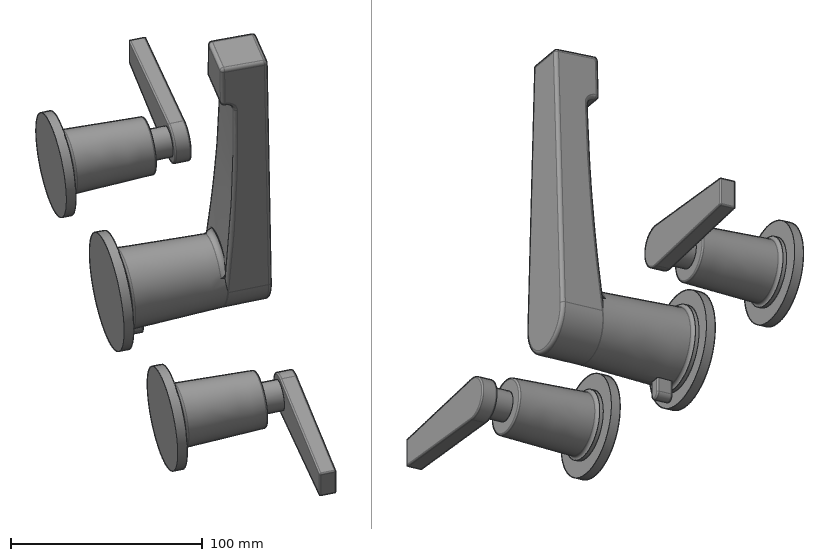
import cadquery as cq
import math


overall_width = 347.98

plate_thickness = 5.3
collar_top = 7.4
cove_radius = 1.9

spout_depth = 84.15
spout_top = 152.46
spout_plate_radius = 31.75
spout_foot_radius = 21.65
arm_root_radius = 19.7
arm_tip_half_width = 12.0
arm_edge_radius = 2.0
tip_slope_drop = 0.8
body_end = 66.0
body_end_radius = 19.4
junction_radius = 3.2

outlet_face = 58.5
outlet_bottom = 127.3
outlet_cove_radius = 4.5
underside_y = 65.1
underside_radius = 1100.0
underside_top = outlet_bottom - outlet_cove_radius

profile_margin = 1.0

knob_start = 10.1
knob_end = 19.1
knob_bottom = -32.33
knob_radius = 3.4
knob_edge_radius = 0.9

handle_spacing = 101.6
handle_plate_radius = 27.94
handle_foot_radius = 17.1
handle_top_radius = 15.4
handle_body_end = 52.9
handle_rim_radius = 0.9
stem_radius = 8.3
lever_start = 63.9
lever_end = 72.9
lever_root_radius = 11.9
lever_tip_half_width = 7.9
lever_length = overall_width / 2 - handle_spacing
lever_edge_radius = 0.8


def body_of_revolution(plate_radius, foot_radius, upper_points):
    """Plate, collar and cove, then the given (radius, Y) points, revolved about the Y axis."""
    collar_radius = foot_radius + cove_radius
    cove_sag = cove_radius * (1 - math.sqrt(0.5))
    outline = (
        cq.Workplane("XY")
        .lineTo(plate_radius, 0)
        .lineTo(plate_radius, plate_thickness)
        .lineTo(collar_radius, plate_thickness)
        .lineTo(collar_radius, collar_top)
        .threePointArc(
            (foot_radius + cove_sag, collar_top + cove_sag),
            (foot_radius, collar_top + cove_radius),
        )
    )
    for radius, y in upper_points:
        outline = outline.lineTo(radius, y)
    last_y = upper_points[-1][1]
    return outline.lineTo(0, last_y).close().revolve(360, (0, 0, 0), (0, 1, 0))


def tapered_bar(root_radius, tip_half_width, length, y_start, y_end):
    """Bar along +Z with a round root about the Y axis and straight sides tangent to that round."""
    tip_distance = math.hypot(tip_half_width, length)
    tangent_angle = math.atan2(length, tip_half_width) - math.acos(root_radius / tip_distance)
    tangent_x = root_radius * math.cos(tangent_angle)
    tangent_z = root_radius * math.sin(tangent_angle)
    return (
        cq.Workplane("XZ", origin=(0, y_start, 0))
        .moveTo(tangent_x, tangent_z)
        .lineTo(tip_half_width, length)
        .lineTo(-tip_half_width, length)
        .lineTo(-tangent_x, tangent_z)
        .threePointArc((0, -root_radius), (tangent_x, tangent_z))
        .close()
        .extrude(y_start - y_end)
    )


def underside_at(z):
    """Y of the curved arm underside at height z."""
    below_top = underside_top - z
    return underside_y - underside_radius + math.sqrt(underside_radius**2 - below_top**2)


def spout_radius_at(y):
    """Radius of the tapered spout body at a distance y from the wall."""
    taper_start = collar_top + cove_radius
    taper = (spout_foot_radius - body_end_radius) / (body_end - taper_start)
    return spout_foot_radius - taper * (y - taper_start)


def make_arm():
    side_bottom = -arm_root_radius - profile_margin
    side_middle = (underside_top + side_bottom) / 2
    cove_sag = outlet_cove_radius * (1 - math.sqrt(0.5))
    side_profile = (
        cq.Workplane("YZ")
        .moveTo(spout_depth, side_bottom)
        .lineTo(spout_depth, spout_top - tip_slope_drop)
        .lineTo(outlet_face, spout_top)
        .lineTo(outlet_face, outlet_bottom)
        .lineTo(underside_y - outlet_cove_radius, outlet_bottom)
        .threePointArc(
            (underside_y - cove_sag, outlet_bottom - cove_sag),
            (underside_y, underside_top),
        )
        .threePointArc(
            (underside_at(side_middle), side_middle),
            (underside_at(side_bottom), side_bottom),
        )
        .close()
        .extrude(spout_plate_radius, both=True)
    )
    bar = tapered_bar(
        arm_root_radius,
        arm_tip_half_width,
        spout_top,
        underside_at(side_bottom) - profile_margin,
        spout_depth,
    )
    return bar.intersect(side_profile).edges().fillet(arm_edge_radius)


def make_junction_blend():
    """Concave flare from the body up to the arm underside, kept within the flat width of the arm."""
    foot_y = underside_at(body_end_radius) - junction_radius
    foot_radius = spout_radius_at(foot_y)
    cove_sag = junction_radius * (1 - math.sqrt(0.5))
    flare = (
        cq.Workplane("XY")
        .moveTo(0, foot_y)
        .lineTo(foot_radius, foot_y)
        .threePointArc(
            (foot_radius + cove_sag, foot_y + junction_radius - cove_sag),
            (foot_radius + junction_radius, foot_y + junction_radius),
        )
        .lineTo(foot_radius + junction_radius, body_end)
        .lineTo(0, body_end)
        .close()
        .revolve(360, (0, 0, 0), (0, 1, 0))
    )
    flat_width = tapered_bar(
        arm_root_radius - arm_edge_radius,
        arm_tip_half_width - arm_edge_radius,
        spout_top,
        foot_y,
        body_end,
    )
    return flare.intersect(flat_width)


def make_knob():
    """Upright plate with a round lower end, reaching up into the spout body."""
    return (
        cq.Workplane("XZ", origin=(0, knob_start, 0))
        .moveTo(knob_radius, 0)
        .lineTo(-knob_radius, 0)
        .lineTo(-knob_radius, knob_bottom + knob_radius)
        .threePointArc((0, knob_bottom), (knob_radius, knob_bottom + knob_radius))
        .close()
        .extrude(knob_start - knob_end)
        .faces("<Y or >Y")
        .edges("not >Z")
        .fillet(knob_edge_radius)
    )


def make_spout():
    body = body_of_revolution(
        spout_plate_radius,
        spout_foot_radius,
        [(body_end_radius, body_end)],
    )
    return body.union(make_arm()).union(make_junction_blend()).union(make_knob())


def make_handle():
    """Handle on the Y axis with its lever pointing along +Z."""
    base = body_of_revolution(
        handle_plate_radius, handle_foot_radius, [(handle_top_radius, handle_body_end)]
    )
    base = base.faces(">Y").edges().fillet(handle_rim_radius)
    stem = (
        cq.Workplane("XZ", origin=(0, handle_body_end, 0))
        .circle(stem_radius)
        .extrude(handle_body_end - lever_start)
    )
    lever = tapered_bar(
        lever_root_radius, lever_tip_half_width, lever_length, lever_start, lever_end
    )
    lever = lever.faces("<Y or >Y or >Z").edges().fillet(lever_edge_radius)
    return base.union(stem).union(lever)


spout = make_spout()
handles = []
for side in (-1, 1):
    handle = make_handle().rotate((0, 0, 0), (0, 1, 0), side * 90)
    handles.append(handle.translate((side * handle_spacing, 0, 0)))

result = cq.Compound.makeCompound([spout.val(), *[handle.val() for handle in handles]])